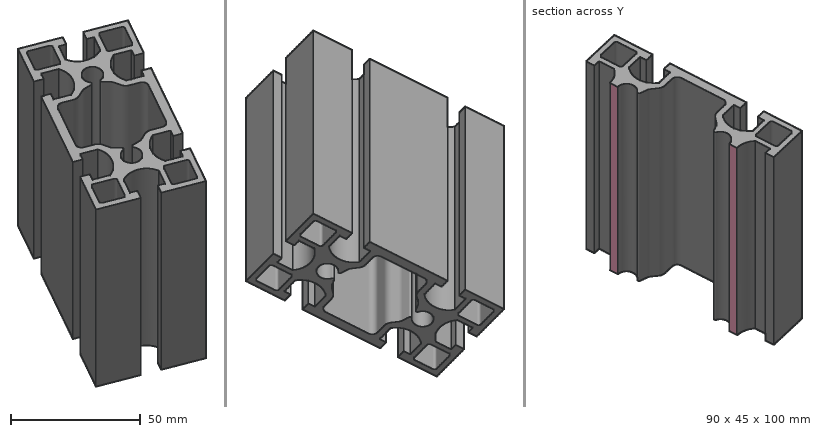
import cadquery as cq
import math

module = 45.0
width = 2 * module
length = 100.0
module_center = module / 2

slot_opening = 8.3
slot_width = 14.4
lip_thickness = 4.0
slot_wall_depth = 11.2
slot_floor_depth = 14.5

pocket_size = 10.5
pocket_wall = 2.5
pocket_radius = 1.0

bore_radius = 4.2
nose_radius = 0.7
nose_gap = 3.6
flank_angle = math.radians(19)

cavity_half_width = 12.5
cavity_half_height = module / 2 - lip_thickness
shoulder_y = 9.8
corner_radius = 2.5
shoulder_radius = 4.0
bend_radius = 3.0

nose_y = nose_gap / 2 + nose_radius
nose_x = module_center - math.sqrt((bore_radius + nose_radius) ** 2 - nose_y**2)

flank_x = nose_x - nose_radius * math.cos(flank_angle)
flank_y = nose_y - nose_radius * math.sin(flank_angle)

shoulder_sum = cavity_half_width + shoulder_y
flank_slope = math.tan(flank_angle)
bend_y = (shoulder_sum - flank_x - flank_y * flank_slope) / (1 - flank_slope)
bend_x = shoulder_sum - bend_y


def extruded(outline):
    """Extrude a closed outline over the full length of the profile."""
    return outline.extrude(length)


def t_slot():
    """Void of one T-slot that opens toward +Y, in the module centered on the origin."""
    face_y = module / 2
    lip_y = face_y - lip_thickness
    wall_end_y = face_y - slot_wall_depth
    floor_y = face_y - slot_floor_depth
    opening = slot_opening / 2
    side = slot_width / 2
    return extruded(
        cq.Workplane("XY")
        .moveTo(opening, face_y)
        .lineTo(opening, lip_y)
        .lineTo(side, lip_y)
        .lineTo(side, wall_end_y)
        .threePointArc((0, floor_y), (-side, wall_end_y))
        .lineTo(-side, lip_y)
        .lineTo(-opening, lip_y)
        .lineTo(-opening, face_y)
        .close()
    )


def corner_pockets():
    """Four square voids with rounded corners."""
    inset = pocket_wall + pocket_size / 2
    spacing_x = width - 2 * inset
    spacing_y = module - 2 * inset
    pockets = extruded(
        cq.Workplane("XY")
        .rect(spacing_x, spacing_y, forConstruction=True)
        .vertices()
        .rect(pocket_size, pocket_size)
    )
    return pockets.edges("|Z").fillet(pocket_radius)


def central_cavity():
    """Void between the modules, narrowing at both ends to reach the bore centers."""
    rounded_corners = [
        (cavity_half_width, cavity_half_height, corner_radius),
        (cavity_half_width, shoulder_y, shoulder_radius),
        (bend_x, bend_y, bend_radius),
    ]
    quarter = [(x, y) for x, y, _ in rounded_corners]
    quarter += [(flank_x, flank_y), (nose_x, nose_y)]
    upper_right = quarter + [(module_center, 0)]
    lower_right = [(x, -y) for x, y in reversed(quarter)]
    right_half = upper_right + lower_right
    left_half = [(-x, -y) for x, y in right_half]
    cavity = extruded(cq.Workplane("XY").polyline(right_half + left_half).close())

    for x, y, radius in rounded_corners:
        for sign_x in (1, -1):
            for sign_y in (1, -1):
                corner = (sign_x * x, sign_y * y, length / 2)
                edge = cavity.edges("|Z").edges(cq.NearestToPointSelector(corner))
                cavity = edge.fillet(radius)

    noses = extruded(
        cq.Workplane("XY")
        .rect(2 * nose_x, 2 * nose_y, forConstruction=True)
        .vertices()
        .circle(nose_radius)
    )
    return cavity.cut(noses)


def bores():
    """Round voids on the two module centers."""
    centers = [(-module_center, 0), (module_center, 0)]
    return extruded(cq.Workplane("XY").pushPoints(centers).circle(bore_radius))


profile = extruded(cq.Workplane("XY").rect(width, module))
profile = profile.cut(corner_pockets()).cut(central_cavity()).cut(bores())

for side in (1, -1):
    for angle in (0, 180, -90 * side):
        slot = t_slot().rotate((0, 0, 0), (0, 0, 1), angle)
        profile = profile.cut(slot.translate((side * module_center, 0, 0)))

result = profile